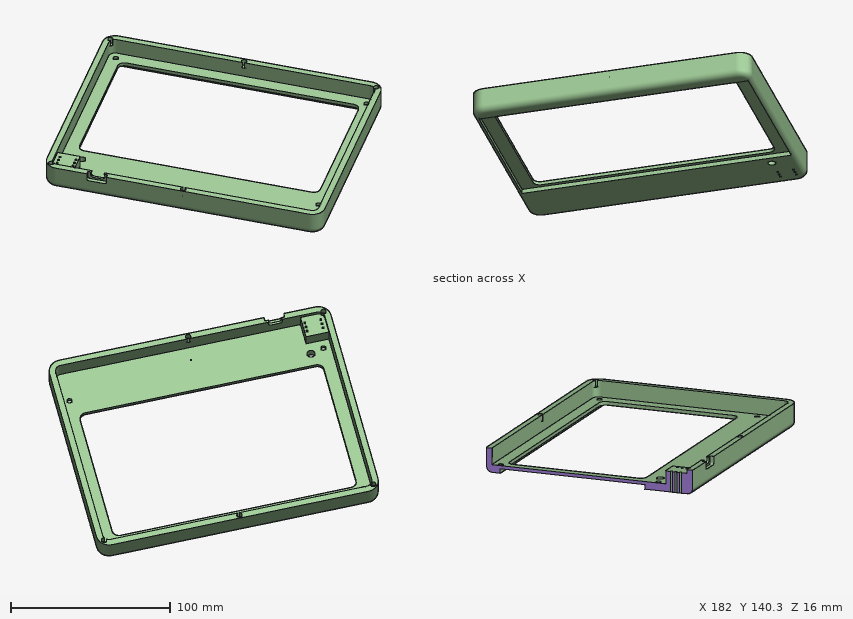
import cadquery as cq

length = 182.0
width = 140.3
height = 16.0
corner_radius = 8.2
bottom_fillet = 4.0
wall = 4.0
floor_thickness = 5.3

window_half_length = 78.8
window_back = 58.2
window_front = -35.0
window_radius = 4.4
panel_half_length = 87.9
panel_margin_y = 2.4
panel_depth = 3.0

screw_diameter = 3.3
rim_screw_depth = 4.4
rim_screw_y = 67.7
corner_screw_x = 87.0
corner_screw_y = 65.7
floor_screw_x = 82.0
floor_screw_back_y = 61.2
floor_screw_front_y = -45.9
floor_screw_depth = 2.0

button_diameter = 5.0
button_center = (-73.5, -43.7)
pinhole_diameter = 0.65
pinhole_center = (0.7, -57.1)
pinhole_depth = 2.5

pad_right = -72.3
pad_back = -51.5
pad_top = 13.6
pin_diameter = 1.2
pin_columns = (-84.3, -73.9)
pin_middle_y = -58.6
pin_pitch = 3.1

port_x = -56.0
recess_length = 12.7
recess_drop = 5.3
recess_depth = 2.5
recess_fillet = 1.1
slot_length = 9.3
slot_height = 4.7
slot_drop = 4.0
slot_radius = 2.2

clearance = 1.8

inner_length = length - 2 * wall
inner_width = width - 2 * wall
inner_radius = corner_radius - wall


def rounded_block(size_x, size_y, size_z, radius):
    """A block standing on Z = 0, centred in X and Y, with rounded vertical edges."""
    block = cq.Workplane("XY").box(size_x, size_y, size_z, centered=(True, True, False))
    return block.edges("|Z").fillet(radius)


def make_tray():
    """The outer shell with its rounded cavity, open at the top."""
    outer = rounded_block(length, width, height, corner_radius)
    outer = outer.faces("<Z").edges().fillet(bottom_fillet)
    cavity = rounded_block(inner_length, inner_width, height, inner_radius)
    return outer.cut(cavity.translate((0, 0, floor_thickness)))


def make_pad():
    """The part of the cavity's corner that is filled up to the pad's top."""
    filling = rounded_block(inner_length, inner_width, pad_top, inner_radius)
    size_x = pad_right + length / 2
    size_y = pad_back + width / 2
    size_z = pad_top - floor_thickness
    corner = cq.Workplane("XY").box(size_x, size_y, size_z, centered=False)
    return filling.intersect(corner.translate((-length / 2, -width / 2, floor_thickness)))


def make_window():
    """The window opening and the panel recess under it, cut from the floor."""
    opening_length = 2 * window_half_length
    opening_width = window_back - window_front
    opening = rounded_block(opening_length, opening_width, floor_thickness, window_radius)
    panel_recess = cq.Workplane("XY").box(
        2 * panel_half_length, opening_width + 2 * panel_margin_y, panel_depth, centered=(True, True, False)
    )
    return opening.union(panel_recess).translate((0, (window_back + window_front) / 2, 0))


def make_port():
    """The recess and slot of the connector port, open at the rim."""
    recess = cq.Workplane("XY").box(
        recess_length, recess_depth, recess_drop + clearance, centered=(True, False, False)
    )
    recess = recess.edges("|Y and <Z").fillet(recess_fillet)
    slot = cq.Workplane("XY").box(slot_length, wall + clearance, slot_height, centered=(True, False, False))
    slot = slot.edges("|Y").fillet(slot_radius)
    port = recess.translate((0, 0, -recess_drop)).union(slot.translate((0, 0, -slot_drop)))
    return port.translate((port_x, -width / 2, height))


def make_holes(centers, diameter, top, depth):
    """Flat-bottomed vertical holes going down from the level `top`."""
    base = cq.Workplane("XY", origin=(0, 0, top - depth))
    return base.pushPoints(centers).circle(diameter / 2).extrude(depth)


rim_screws = [
    (-corner_screw_x, -corner_screw_y),
    (-corner_screw_x, corner_screw_y),
    (corner_screw_x, corner_screw_y),
    (0, rim_screw_y),
    (0, -rim_screw_y),
]
floor_screws = [
    (x, y) for x in (-floor_screw_x, floor_screw_x) for y in (floor_screw_front_y, floor_screw_back_y)
]
pins = [(x, pin_middle_y + step * pin_pitch) for x in pin_columns for step in (-1, 0, 1)]

result = (
    make_tray()
    .union(make_pad())
    .cut(make_window())
    .cut(make_port())
    .cut(make_holes(rim_screws, screw_diameter, height, rim_screw_depth))
    .cut(make_holes(floor_screws, screw_diameter, floor_thickness, floor_screw_depth))
    .cut(make_holes([button_center], button_diameter, floor_thickness, floor_thickness))
    .cut(make_holes([pinhole_center], pinhole_diameter, floor_thickness, pinhole_depth))
    .cut(make_holes(pins, pin_diameter, pad_top, pad_top))
)